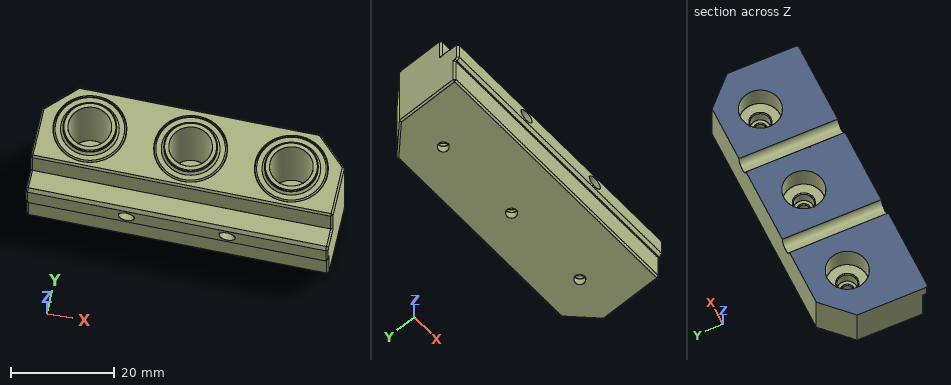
import cadquery as cq

LENGTH = 60.0
DEPTH = 21.25
BODY_HEIGHT = 19.0
CORNER_CUT = 6.0
EDGE_CHAMFER = 0.4

UPPER_WALL_Y = 4.5
LOWER_WALL_Y = 0.9
RAIL_TOP = 12.95
RAIL_BOTTOM = 7.1
RAIL_CHAMFER = 0.65

CROSS_HOLE_DIAMETER = 3.2
CROSS_HOLE_Z = 10.0
CROSS_HOLE_SPACING = LENGTH / 3

SOCKET_SPACING = LENGTH / 3
SOCKET_TO_BACK = 8.5
SOCKET_Y = DEPTH - SOCKET_TO_BACK

COLLAR_TOP = 20.0
COLLAR_DIAMETER = 10.45
COLLAR_BASE_DIAMETER = 11.4
COLLAR_RIM_CHAMFER = 0.2
COLLAR_TAPER = (COLLAR_BASE_DIAMETER - COLLAR_DIAMETER) / 2

GROOVE_OUTER_DIAMETER = 14.35
GROOVE_BOTTOM_DIAMETER = 14.1
GROOVE_INNER_DIAMETER = 13.5
GROOVE_DEPTH = (GROOVE_BOTTOM_DIAMETER - GROOVE_INNER_DIAMETER) / 2

BORE_DIAMETER = 8.45
BORE_FLOOR = 5.0
STEP_DIAMETER = 4.1
STEP_FLOOR = 2.4
DRAIN_DIAMETER = 2.3
BORE_CHAMFER = 0.21


def make_block():
    """Stepped profile run along X, with the back corners cut off and the edges broken."""
    profile = [
        (LOWER_WALL_Y, 0),
        (DEPTH, 0),
        (DEPTH, BODY_HEIGHT),
        (UPPER_WALL_Y, BODY_HEIGHT),
        (UPPER_WALL_Y, RAIL_TOP),
        (RAIL_CHAMFER, RAIL_TOP),
        (0, RAIL_TOP - RAIL_CHAMFER),
        (0, RAIL_BOTTOM + RAIL_CHAMFER),
        (RAIL_CHAMFER, RAIL_BOTTOM),
        (LOWER_WALL_Y, RAIL_BOTTOM),
    ]
    block = cq.Workplane("YZ").polyline(profile).close().extrude(LENGTH)
    block = block.edges("|Z and >Y").chamfer(CORNER_CUT)
    end_edges = block.faces("<X or >X").edges("not(|Z and >Y)")
    rim_edges = block.faces("<Z or >Z").edges()
    return end_edges.add(rim_edges).chamfer(EDGE_CHAMFER)


def revolve_section(section):
    """Solid turned about Z from (radius, height) points."""
    return cq.Workplane("XZ").polyline(section).close().revolve(360, (0, 0), (0, 1))


def make_collar():
    radius = COLLAR_DIAMETER / 2
    return revolve_section([
        (0, BODY_HEIGHT - COLLAR_TAPER),
        (COLLAR_BASE_DIAMETER / 2, BODY_HEIGHT - COLLAR_TAPER),
        (COLLAR_BASE_DIAMETER / 2, BODY_HEIGHT),
        (radius, BODY_HEIGHT + COLLAR_TAPER),
        (radius, COLLAR_TOP - COLLAR_RIM_CHAMFER),
        (radius - COLLAR_RIM_CHAMFER, COLLAR_TOP),
        (0, COLLAR_TOP),
    ])


def make_groove():
    return revolve_section([
        (GROOVE_INNER_DIAMETER / 2, BODY_HEIGHT),
        (GROOVE_OUTER_DIAMETER / 2, BODY_HEIGHT),
        (GROOVE_BOTTOM_DIAMETER / 2, BODY_HEIGHT - GROOVE_DEPTH),
    ])


def make_bore():
    bore_radius = BORE_DIAMETER / 2
    step_radius = STEP_DIAMETER / 2
    drain_radius = DRAIN_DIAMETER / 2
    return revolve_section([
        (0, 0),
        (drain_radius, 0),
        (drain_radius, STEP_FLOOR - BORE_CHAMFER),
        (drain_radius + BORE_CHAMFER, STEP_FLOOR),
        (step_radius, STEP_FLOOR),
        (step_radius, BORE_FLOOR - BORE_CHAMFER),
        (step_radius + BORE_CHAMFER, BORE_FLOOR),
        (bore_radius, BORE_FLOOR),
        (bore_radius, COLLAR_TOP),
        (0, COLLAR_TOP),
    ])


result = make_block()

for offset in (-SOCKET_SPACING, 0, SOCKET_SPACING):
    position = (LENGTH / 2 + offset, SOCKET_Y, 0)
    result = result.cut(make_groove().translate(position))
    result = result.union(make_collar().translate(position))
    result = result.cut(make_bore().translate(position))

for offset in (-CROSS_HOLE_SPACING / 2, CROSS_HOLE_SPACING / 2):
    hole = cq.Workplane("XZ").circle(CROSS_HOLE_DIAMETER / 2).extrude(-DEPTH)
    result = result.cut(hole.translate((LENGTH / 2 + offset, 0, CROSS_HOLE_Z)))